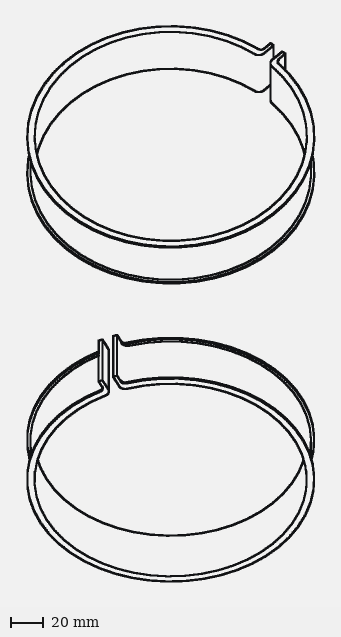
import cadquery as cq
import math

inner_radius = 82.5
wall_thickness = 2.5
rim_radius = 87.0
rim_height = 1.1
band_height = 35.0
overall_depth = 182
ear_gap = 7.1
ear_bend_radius = 4.0
wall_bend_radius = 4.2
rim_bend_radius = 2.7

wall_radius = inner_radius + wall_thickness
ear_inner_x = ear_gap / 2
ear_outer_x = ear_inner_x + wall_thickness
ear_tip_y = overall_depth - rim_radius


def bend_points(circle_radius, ear_x, bend_radius):
    """Start, middle and end of the bend from an ear face at ear_x to a circle about the origin."""
    center_x = ear_x + bend_radius
    center_y = math.sqrt((circle_radius + bend_radius) ** 2 - center_x**2)
    circle_angle = math.atan2(-center_y, -center_x)
    middle_angle = (circle_angle - math.pi) / 2

    def point_at(angle):
        return (
            center_x + bend_radius * math.cos(angle),
            center_y + bend_radius * math.sin(angle),
        )

    return (ear_x, center_y), point_at(middle_angle), point_at(circle_angle)


def mirrored(point):
    return (-point[0], point[1])


def clamp_layer(outer_radius, outer_bend_radius, bottom, height):
    """Open ring with two ears at +Y, extruded upward from the given level."""
    outer_start, outer_middle, outer_end = bend_points(outer_radius, ear_outer_x, outer_bend_radius)
    inner_start, inner_middle, inner_end = bend_points(inner_radius, ear_inner_x, ear_bend_radius)
    return (
        cq.Workplane("XY", origin=(0, 0, bottom))
        .moveTo(ear_outer_x, ear_tip_y)
        .lineTo(*outer_start)
        .threePointArc(outer_middle, outer_end)
        .threePointArc((0, -outer_radius), mirrored(outer_end))
        .threePointArc(mirrored(outer_middle), mirrored(outer_start))
        .lineTo(-ear_outer_x, ear_tip_y)
        .lineTo(-ear_inner_x, ear_tip_y)
        .lineTo(*mirrored(inner_start))
        .threePointArc(mirrored(inner_middle), mirrored(inner_end))
        .threePointArc((0, -inner_radius), inner_end)
        .threePointArc(inner_middle, inner_start)
        .lineTo(ear_inner_x, ear_tip_y)
        .close()
        .extrude(height)
    )


result = clamp_layer(wall_radius, wall_bend_radius, 0, band_height)
for rim_bottom in (0, band_height - rim_height):
    result = result.union(clamp_layer(rim_radius, rim_bend_radius, rim_bottom, rim_height))